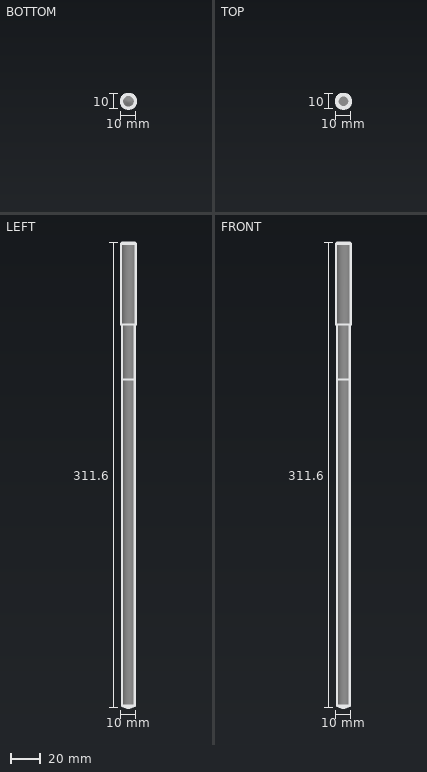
import cadquery as cq
import math

SHANK_DIAMETER = 10.0
SHANK_LENGTH = 55.0
SHANK_CHAMFER = 1.0
DRILL_DIAMETER = 8.73
POINT_ANGLE = 140.0
LENGTH_ABOVE_POINT = 310.0
CUTTING_LENGTH = 220.0

shank_radius = SHANK_DIAMETER / 2
drill_radius = DRILL_DIAMETER / 2
point_height = drill_radius / math.tan(math.radians(POINT_ANGLE / 2))
cutting_top = CUTTING_LENGTH
shank_top = point_height + LENGTH_ABOVE_POINT
shank_bottom = shank_top - SHANK_LENGTH


def revolve_about_z(profile):
    """Turn a closed (radius, height) profile about Z, starting on the -Y side."""
    points = [(-radius, height) for radius, height in profile]
    return cq.Workplane("YZ").polyline(points).close().revolve(360, (0, 0), (0, 1))


def make_cutting_part():
    """Plain cylinder ending in the conical drill point."""
    return revolve_about_z([
        (0, 0),
        (drill_radius, point_height),
        (drill_radius, cutting_top),
        (0, cutting_top),
    ])


def make_shank():
    """Neck of drill diameter below the wider clamping shank with a chamfered end."""
    return revolve_about_z([
        (0, cutting_top),
        (drill_radius, cutting_top),
        (drill_radius, shank_bottom),
        (shank_radius, shank_bottom),
        (shank_radius, shank_top - SHANK_CHAMFER),
        (shank_radius - SHANK_CHAMFER, shank_top),
        (0, shank_top),
    ])


cutting_part = make_cutting_part()
shank = make_shank()

result = cq.Compound.makeCompound([cutting_part.val(), shank.val()])